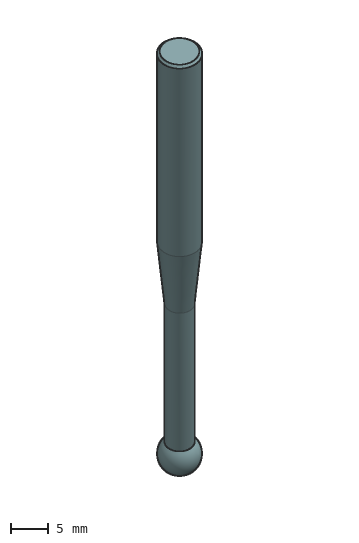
import cadquery as cq

total_length = 75.0
shank_radius = 3.0
ball_radius = 3.0
neck_radius = 2.0

taper_bottom = 30.0
taper_top = 41.0
end_chamfer = 0.4

neck = (
    cq.Workplane("XY")
    .workplane(offset=ball_radius)
    .circle(neck_radius)
    .extrude(taper_bottom - ball_radius)
)
taper = (
    cq.Workplane("XY")
    .workplane(offset=taper_bottom)
    .circle(neck_radius)
    .workplane(offset=taper_top - taper_bottom)
    .circle(shank_radius)
    .loft()
)

shank = (
    cq.Workplane("XY")
    .workplane(offset=taper_top)
    .circle(shank_radius)
    .extrude(total_length - taper_top)
    .faces(">Z")
    .chamfer(end_chamfer)
)

ball = cq.Workplane("XY").sphere(ball_radius).translate((0, 0, ball_radius))

result = shank.union(taper).union(neck).union(ball)